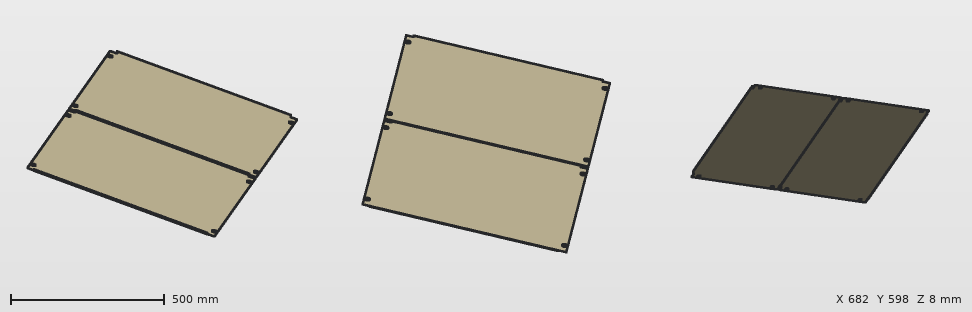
import cadquery as cq

width = 682.0
total_depth = 598.0
height = 8.0

sheet = 1.0
bend_outer_radius = 3.0
bend_inner_radius = bend_outer_radius - sheet

panel_gap = 1.5
panel_depth = (total_depth - panel_gap) / 2
plate_depth = panel_depth - 2 * bend_outer_radius
flange_inset = 24.5
flange_length = width - 2 * flange_inset

relief_width = 4.0
relief_depth = 0.2

slot_length = 15.0
slot_width = 8.0
slot_edge_distance = 11.0
slot_pitch_x = width - 2 * slot_edge_distance
slot_pitch_y = 250.0


def make_plate():
    """Flat sheet with relief notches at the flange ends."""
    plate = cq.Workplane("XY").box(width, plate_depth, sheet, centered=(True, True, False))
    notches = (
        cq.Workplane("XY")
        .rarray(flange_length + relief_width, plate_depth, 2, 2)
        .rect(relief_width, 2 * relief_depth)
        .extrude(sheet)
    )
    return plate.cut(notches)


def make_flange():
    """Upward flange on the +Y edge, joined to the plate by a rounded bend."""
    bend_start = plate_depth / 2
    outer_face = panel_depth / 2
    inner_face = outer_face - sheet
    diagonal = 0.5 ** 0.5
    outer_mid = (
        bend_start + bend_outer_radius * diagonal,
        bend_outer_radius * (1 - diagonal),
    )
    inner_mid = (
        bend_start + bend_inner_radius * diagonal,
        bend_outer_radius - bend_inner_radius * diagonal,
    )
    return (
        cq.Workplane("YZ", origin=(-flange_length / 2, 0, 0))
        .moveTo(bend_start, 0)
        .threePointArc(outer_mid, (outer_face, bend_outer_radius))
        .lineTo(outer_face, height)
        .lineTo(inner_face, height)
        .lineTo(inner_face, bend_outer_radius)
        .threePointArc(inner_mid, (bend_start, sheet))
        .close()
        .extrude(flange_length)
    )


def make_slots():
    """Cutters for the four corner mounting slots."""
    return (
        cq.Workplane("XY")
        .rarray(slot_pitch_x, slot_pitch_y, 2, 2)
        .slot2D(slot_length, slot_width)
        .extrude(sheet)
    )


def make_panel(center_y):
    """One complete panel centred at the given Y."""
    flange = make_flange()
    panel = make_plate().union(flange).union(flange.mirror("XZ"))
    return panel.cut(make_slots()).translate((0, center_y, 0))


panels = [make_panel(side * (panel_depth + panel_gap) / 2) for side in (-1, 1)]

result = cq.Compound.makeCompound([panel.val() for panel in panels])